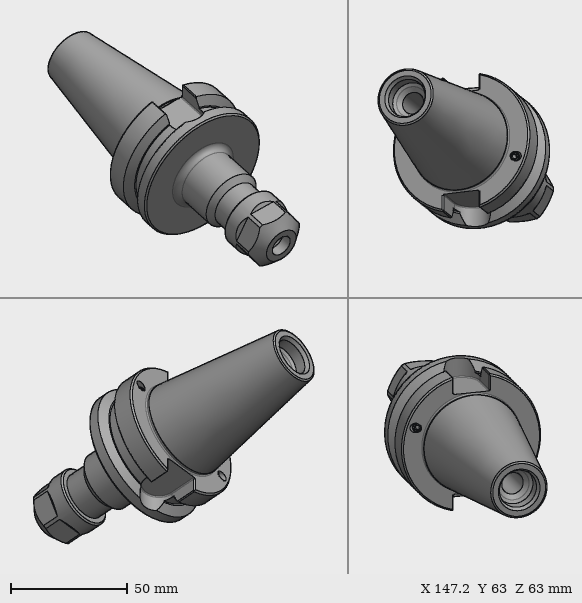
import cadquery as cq
import math

TOTAL_LENGTH = 147.2
CUTTER_OVERRUN = 1.5

GAUGE_X = 65.4
GAUGE_RADIUS = 22.2
TAPER_SLOPE = 7 / 48
SMALL_RADIUS = GAUGE_RADIUS - GAUGE_X * TAPER_SLOPE
SHANK_CHAMFER_LENGTH = 0.5
SHANK_CHAMFER_DEPTH = 0.7
RELIEF_STEP = 0.3
NECK_RADIUS = GAUGE_RADIUS - RELIEF_STEP
NECK_FILLET = 0.6

FLANGE_RADIUS = 31.5
FLANGE_START_X = 67.1
FLANGE_END_X = 92.5
FLANGE_CHAMFER = 0.7
GROOVE_RADIUS = 26.5
GROOVE_STEP_RADIUS = 27.2
GROOVE_FLOOR_START_X = 79.5
GROOVE_FLOOR_END_X = 84.5
GROOVE_SIDE_ANGLE = 60.0
GROOVE_SIDE_RUN = (FLANGE_RADIUS - GROOVE_STEP_RADIUS) / math.tan(math.radians(GROOVE_SIDE_ANGLE))

SPIGOT_RADIUS = 13.7
SPIGOT_FILLET = 3.0
SPIGOT_END_X = 112.2
NOSE_DIAMETER = 22.0
NOSE_RADIUS = NOSE_DIAMETER / 2
NOSE_START_X = SPIGOT_END_X + SPIGOT_RADIUS - NOSE_RADIUS
NOSE_END_X = 142.0

MOUTH_RADIUS = 9.4
MOUTH_HALF_ANGLE = 30.0
PILOT_RADIUS = 8.4
PILOT_START_X = (MOUTH_RADIUS - PILOT_RADIUS) / math.tan(math.radians(MOUTH_HALF_ANGLE))
PILOT_END_X = 6.8
LEAD_IN_RADIUS = 6.9
LEAD_IN_END_X = 7.7
BORE_RADIUS = 4.9
BORE_START_X = 9.4

SLOT_HALF_WIDTH = 8.1
SLOT_SPACING_ANGLE = 180.0
SLOT_FLOOR_Z = 22.7
SLOT_END_X = 88.8
SLOT_FLOOR_FILLET = 0.5
SLOT_MOUTH_CHAMFER = 0.6

PORT_CIRCLE_RADIUS = 27.0
PORT_ANGLE = 20.0
PORT_TILT = 36.0
PORT_COUNT = 2
SCREW_RADIUS = 2.0
SCREW_DEPTH = 1.8
SCREW_LENGTH = 4.0
SOCKET_WIDTH = 2.0
SOCKET_DEPTH = 1.9
SCREW_CHAMFER = 0.5

NUT_START_X = 125.0
NUT_RADIUS = 14.0
NUT_CHAMFER = 0.7
NUT_TIP_RADIUS = 8.1
NUT_TIP_START_X = 142.0
HEX_HALF_WIDTH = 12.5
HEX_START_X = 133.8
HEX_SIDES = 6


def revolve_about_x(profile):
    """Solid of revolution about X from an (x, radius) workplane outline."""
    return profile.close().revolve(360, (0, 0, 0), (1, 0, 0))


def holder_blank():
    relief_x = GAUGE_X + RELIEF_STEP
    outline = (
        cq.Workplane("XY")
        .moveTo(0, 0)
        .lineTo(0, SMALL_RADIUS - SHANK_CHAMFER_DEPTH)
        .lineTo(SHANK_CHAMFER_LENGTH, SMALL_RADIUS + SHANK_CHAMFER_LENGTH * TAPER_SLOPE)
        .lineTo(GAUGE_X, GAUGE_RADIUS)
        .lineTo(relief_x, NECK_RADIUS)
        .lineTo(FLANGE_START_X - NECK_FILLET, NECK_RADIUS)
        .radiusArc((FLANGE_START_X, NECK_RADIUS + NECK_FILLET), -NECK_FILLET)
        .lineTo(FLANGE_START_X, FLANGE_RADIUS - FLANGE_CHAMFER)
        .lineTo(FLANGE_START_X + FLANGE_CHAMFER, FLANGE_RADIUS)
        .lineTo(GROOVE_FLOOR_START_X - GROOVE_SIDE_RUN, FLANGE_RADIUS)
        .lineTo(GROOVE_FLOOR_START_X, GROOVE_STEP_RADIUS)
        .lineTo(GROOVE_FLOOR_START_X, GROOVE_RADIUS)
        .lineTo(GROOVE_FLOOR_END_X, GROOVE_RADIUS)
        .lineTo(GROOVE_FLOOR_END_X, GROOVE_STEP_RADIUS)
        .lineTo(GROOVE_FLOOR_END_X + GROOVE_SIDE_RUN, FLANGE_RADIUS)
        .lineTo(FLANGE_END_X - FLANGE_CHAMFER, FLANGE_RADIUS)
        .lineTo(FLANGE_END_X, FLANGE_RADIUS - FLANGE_CHAMFER)
        .lineTo(FLANGE_END_X, SPIGOT_RADIUS + SPIGOT_FILLET)
        .radiusArc((FLANGE_END_X + SPIGOT_FILLET, SPIGOT_RADIUS), -SPIGOT_FILLET)
        .lineTo(SPIGOT_END_X, SPIGOT_RADIUS)
        .lineTo(NOSE_START_X, NOSE_RADIUS)
        .lineTo(NOSE_END_X, NOSE_RADIUS)
        .lineTo(NOSE_END_X, 0)
    )
    return revolve_about_x(outline)


def stepped_bore():
    outline = (
        cq.Workplane("XY")
        .moveTo(0, 0)
        .lineTo(0, MOUTH_RADIUS)
        .lineTo(PILOT_START_X, PILOT_RADIUS)
        .lineTo(PILOT_END_X, PILOT_RADIUS)
        .lineTo(LEAD_IN_END_X, LEAD_IN_RADIUS)
        .lineTo(BORE_START_X, BORE_RADIUS)
        .lineTo(TOTAL_LENGTH, BORE_RADIUS)
        .lineTo(TOTAL_LENGTH, 0)
    )
    return revolve_about_x(outline)


def drive_slot():
    """Cutter for the upper slot: round inner end, filleted floor, chamfered mouth in the flange."""
    arc_x = SLOT_END_X - SLOT_HALF_WIDTH
    height = FLANGE_RADIUS + CUTTER_OVERRUN - SLOT_FLOOR_Z
    slot = (
        cq.Workplane("XY", origin=(0, 0, SLOT_FLOOR_Z))
        .moveTo(GAUGE_X, -SLOT_HALF_WIDTH)
        .lineTo(arc_x, -SLOT_HALF_WIDTH)
        .threePointArc((SLOT_END_X, 0), (arc_x, SLOT_HALF_WIDTH))
        .lineTo(GAUGE_X, SLOT_HALF_WIDTH)
        .close()
        .extrude(height)
    )
    slot = slot.faces("<Z").edges("not <X").fillet(SLOT_FLOOR_FILLET)
    return slot.union(slot_front_chamfer(height)).union(slot_rim_chamfer())


def slot_front_chamfer(height):
    """Flared opening of the slot in the flange face."""
    inner_x = FLANGE_START_X + SLOT_MOUTH_CHAMFER
    return (
        cq.Workplane("XY", origin=(0, 0, SLOT_FLOOR_Z + SLOT_FLOOR_FILLET))
        .polyline([
            (FLANGE_START_X, -SLOT_HALF_WIDTH - SLOT_MOUTH_CHAMFER),
            (inner_x, -SLOT_HALF_WIDTH),
            (inner_x, SLOT_HALF_WIDTH),
            (FLANGE_START_X, SLOT_HALF_WIDTH + SLOT_MOUTH_CHAMFER),
        ])
        .close()
        .extrude(height)
    )


def slot_rim_chamfer():
    """Flared rim of the slot along the part of the flange in front of the groove."""
    rim_z = math.sqrt(FLANGE_RADIUS**2 - SLOT_HALF_WIDTH**2)
    low_z = rim_z - SLOT_MOUTH_CHAMFER
    high_z = rim_z + CUTTER_OVERRUN
    flare_half_width = SLOT_HALF_WIDTH + high_z - low_z
    return (
        cq.Workplane("YZ", origin=(FLANGE_START_X, 0, 0))
        .polyline([
            (-SLOT_HALF_WIDTH, low_z),
            (SLOT_HALF_WIDTH, low_z),
            (flare_half_width, high_z),
            (-flare_half_width, high_z),
        ])
        .close()
        .extrude(GROOVE_FLOOR_START_X - FLANGE_START_X)
    )


def along_port(radius, start, length):
    """Cylinder on the tilted axis of the first hole, `start` measured from the flange face."""
    tilt = math.radians(PORT_TILT)
    axis = cq.Vector(math.cos(tilt), -math.sin(tilt), 0)
    mouth = cq.Vector(FLANGE_START_X, PORT_CIRCLE_RADIUS, 0)
    plane = cq.Plane(origin=mouth + axis * start, xDir=(0, 0, 1), normal=axis)
    return cq.Workplane(plane).circle(radius).extrude(length)


def at_port(shape, index):
    return shape.rotate((0, 0, 0), (1, 0, 0), PORT_ANGLE + index * 360 / PORT_COUNT)


def make_holder():
    holder = holder_blank().cut(stepped_bore())
    slot = drive_slot()
    holder = holder.cut(slot).cut(slot.rotate((0, 0, 0), (1, 0, 0), SLOT_SPACING_ANGLE))
    port_lead = 2 * SCREW_RADIUS
    port = along_port(SCREW_RADIUS, -port_lead, port_lead + SCREW_DEPTH + SCREW_LENGTH)
    for index in range(PORT_COUNT):
        holder = holder.cut(at_port(port, index))
    return holder


def make_screw(index):
    screw = along_port(SCREW_RADIUS, SCREW_DEPTH, SCREW_LENGTH)
    screw = screw.edges().chamfer(SCREW_CHAMFER)
    socket_corners = SOCKET_WIDTH / math.cos(math.pi / HEX_SIDES)
    screw = (
        screw.faces("<X")
        .workplane()
        .polygon(HEX_SIDES, socket_corners)
        .cutBlind(-SOCKET_DEPTH)
    )
    return at_port(screw, index)


def hex_flat():
    """Cutter for the upper flat of the nut, running out at 45 degrees towards the flange."""
    clear_z = NUT_RADIUS + CUTTER_OVERRUN
    runout_x = HEX_START_X - (clear_z - HEX_HALF_WIDTH)
    end_x = TOTAL_LENGTH + CUTTER_OVERRUN
    return (
        cq.Workplane("XZ")
        .polyline([
            (HEX_START_X, HEX_HALF_WIDTH),
            (end_x, HEX_HALF_WIDTH),
            (end_x, clear_z),
            (runout_x, clear_z),
        ])
        .close()
        .extrude(NUT_RADIUS, both=True)
    )


def make_nut():
    outline = (
        cq.Workplane("XY")
        .moveTo(NUT_START_X, NOSE_RADIUS)
        .lineTo(NUT_START_X, NUT_RADIUS - NUT_CHAMFER)
        .lineTo(NUT_START_X + NUT_CHAMFER, NUT_RADIUS)
        .lineTo(NUT_TIP_START_X, NUT_RADIUS)
        .lineTo(TOTAL_LENGTH, NUT_TIP_RADIUS)
        .lineTo(TOTAL_LENGTH, BORE_RADIUS)
        .lineTo(NOSE_END_X, BORE_RADIUS)
        .lineTo(NOSE_END_X, NOSE_RADIUS)
    )
    nut = revolve_about_x(outline)
    for side in range(HEX_SIDES):
        nut = nut.cut(hex_flat().rotate((0, 0, 0), (1, 0, 0), side * 360 / HEX_SIDES))
    return nut


holder = make_holder()
nut = make_nut()
screws = [make_screw(index) for index in range(PORT_COUNT)]

result = cq.Compound.makeCompound([holder.val(), nut.val(), *[screw.val() for screw in screws]])